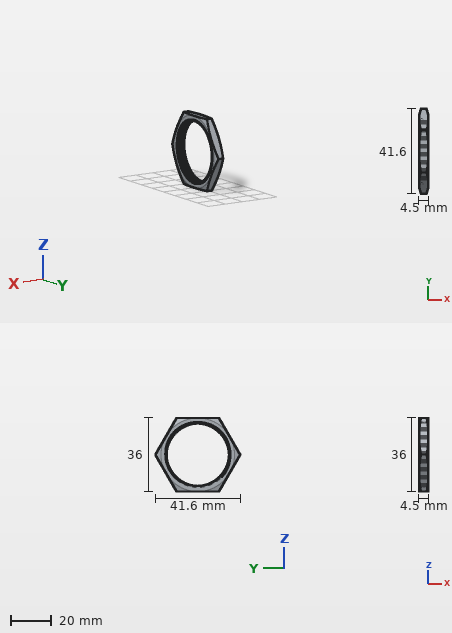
import cadquery as cq
import math

width_across_corners = 41.55
width_across_flats = width_across_corners * math.cos(math.radians(30))
thickness = 4.5
corner_chamfer_drop = 0.87

thread_turns = 3
pitch = thickness / thread_turns
major_radius = 16.0
flank_angle = 30.0
crest_width = pitch / 8
root_width = pitch / 4
groove_mouth = pitch - crest_width
thread_depth = (groove_mouth - root_width) / 2 / math.tan(math.radians(flank_angle))
minor_radius = major_radius - thread_depth
thread_start_angle = 150.0
bore_seam_angle = 77.0
cutter_overlap = 0.1


def hexagon_blank():
    """Hexagonal prism standing on the XY plane, two corners along Y."""
    return (
        cq.Workplane("XY")
        .polygon(6, width_across_corners)
        .extrude(thickness)
        .rotate((0, 0, 0), (0, 0, 1), 90)
    )


def chamfer_envelope():
    """Double-coned disc whose overlap with the hexagon chamfers its corners."""
    flat_radius = width_across_flats / 2
    corner_radius = width_across_corners / 2
    return (
        cq.Workplane("XZ")
        .moveTo(0, 0)
        .lineTo(flat_radius, 0)
        .lineTo(corner_radius, corner_chamfer_drop)
        .lineTo(corner_radius, thickness - corner_chamfer_drop)
        .lineTo(flat_radius, thickness)
        .lineTo(0, thickness)
        .close()
        .revolve(360, (0, 0, 0), (0, 1, 0))
    )


def thread_groove():
    """Helical groove running one pitch past both faces."""
    helix = cq.Wire.makeHelix(pitch, thickness + 2 * pitch, minor_radius)
    inner_radius = minor_radius - cutter_overlap
    inner_width = groove_mouth + 2 * cutter_overlap * math.tan(math.radians(flank_angle))
    groove = (
        cq.Workplane("XZ")
        .moveTo(inner_radius, -inner_width / 2)
        .lineTo(major_radius, -root_width / 2)
        .lineTo(major_radius, root_width / 2)
        .lineTo(inner_radius, inner_width / 2)
        .close()
        .sweep(cq.Workplane(helix), isFrenet=True)
    )
    return groove.translate((0, 0, -pitch)).rotate((0, 0, 0), (0, 0, 1), thread_start_angle)


bore = (
    cq.Workplane("XY")
    .circle(minor_radius)
    .extrude(thickness)
    .rotate((0, 0, 0), (0, 0, 1), bore_seam_angle)
)
nut = hexagon_blank().intersect(chamfer_envelope()).cut(bore).cut(thread_groove())

result = nut.rotate((0, 0, 0), (0, 1, 0), 90).translate((-thickness / 2, 0, 0))